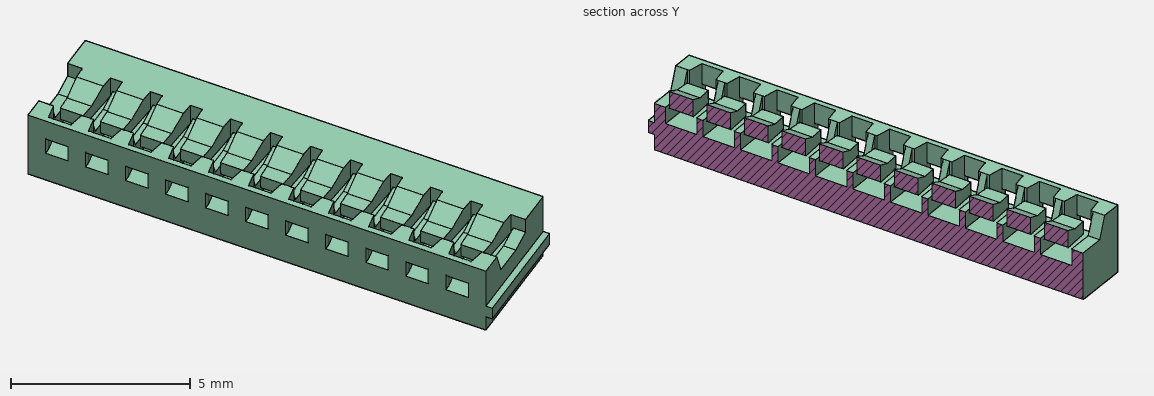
import cadquery as cq

body_length = 14.3
body_depth = 3.5
body_height = 2.2

rib_projection = 0.2
rib_bottom = 0.5
rib_top = 0.9

contact_count = 11
pitch = 1.25
first_contact_x = (body_length - (contact_count - 1) * pitch) / 2

window_width = 0.7
cavity_width = 1.03
cavity_floor = 1.0
cavity_roof = 1.53
window_depth = 0.18
mouth_depth = 0.67
mouth_width = 0.88

trough_back = 2.42
trough_back_floor = 1.73
trough_slope_end = 1.83
trough_floor = cavity_roof
trough_front = 0.92

tongue_root_width = 0.88
tongue_tip_width = 0.71
tongue_tip = trough_front
tongue_tip_top = 1.95
tongue_slope_start = 2.03
tongue_slope_end = 1.38


def box_between(x_range, y_range, z_range):
    """Box given by its limits along each axis."""
    size = [high - low for low, high in (x_range, y_range, z_range)]
    corner = (x_range[0], y_range[0], z_range[0])
    return cq.Workplane("XY").box(*size, centered=False).translate(corner)


def side_profile(points, x_start, length):
    """Outline of (Y, Z) points swept along X."""
    return cq.Workplane("YZ", origin=(x_start, 0, 0)).polyline(points).close().extrude(length)


def symmetric_plan(half_outline, center_x, bottom, top):
    """Prism mirrored about center_x, from (half width, Y) points ordered front to back."""
    right = [(center_x + half, y) for half, y in half_outline]
    left = [(center_x - half, y) for half, y in reversed(half_outline)]
    plan = cq.Workplane("XY", origin=(0, 0, bottom)).polyline(right + left).close()
    return plan.extrude(top - bottom)


def make_body():
    body = box_between((0, body_length), (0, body_depth), (0, body_height))
    rib = box_between(
        (body_length, body_length + rib_projection), (0, body_depth), (rib_bottom, rib_top)
    )
    return body.union(rib)


def make_trough():
    outline = [
        (trough_back, body_height),
        (trough_back, trough_back_floor),
        (trough_slope_end, trough_floor),
        (trough_front, trough_floor),
        (mouth_depth, body_height),
    ]
    return side_profile(outline, 0, body_length)


def make_tongue(center_x):
    outline = [
        (trough_back, cavity_roof),
        (trough_back, body_height),
        (tongue_slope_start, body_height),
        (tongue_slope_end, tongue_tip_top),
        (tongue_tip, tongue_tip_top),
        (tongue_tip, cavity_roof),
    ]
    bar = side_profile(outline, center_x - cavity_width / 2, cavity_width)
    half_plan = [(tongue_tip_width / 2, tongue_tip), (tongue_root_width / 2, trough_back)]
    return bar.intersect(symmetric_plan(half_plan, center_x, cavity_roof, body_height))


def make_cavity(center_x):
    """Passage through the depth plus the top opening around the tongue."""
    left = center_x - cavity_width / 2
    right = center_x + cavity_width / 2
    passage = box_between((left, right), (mouth_depth, body_depth), (cavity_floor, cavity_roof))
    opening = box_between((left, right), (mouth_depth, trough_back), (cavity_floor, body_height))
    half_flare = [(window_width / 2, window_depth), (mouth_width / 2, mouth_depth)]
    flare = symmetric_plan(half_flare, center_x, cavity_floor, body_height)
    window = box_between(
        (center_x - window_width / 2, center_x + window_width / 2),
        (0, window_depth),
        (cavity_floor, cavity_roof),
    )
    return passage.union(opening).union(flare).union(window)


result = make_body().cut(make_trough())
for index in range(contact_count):
    contact_x = first_contact_x + index * pitch
    result = result.cut(make_cavity(contact_x)).union(make_tongue(contact_x))